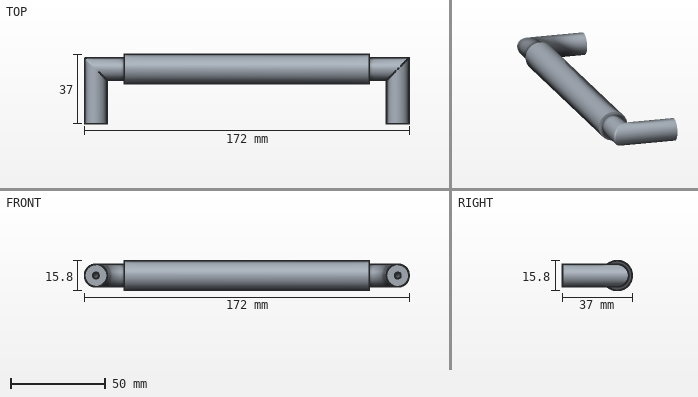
import cadquery as cq
import math

HOLE_SPACING = 160.0
ROD_DIAMETER = 12.0
OVERALL_DEPTH = 37.0
SLEEVE_DIAMETER = 15.8
SLEEVE_LENGTH = 130.0
MITRE_FILLET_RADIUS = 1.0
SCREW_HOLE_DIAMETER = 3.3
SCREW_HOLE_DEPTH = 15.0
DRILL_POINT_ANGLE = 118.0

rod_radius = ROD_DIAMETER / 2
leg_offset = HOLE_SPACING / 2
bar_axis_y = OVERALL_DEPTH - SLEEVE_DIAMETER / 2
outer_x = leg_offset + rod_radius
outer_y = bar_axis_y + rod_radius
inner_x = leg_offset - rod_radius
inner_y = bar_axis_y - rod_radius


def cylinder_along_x(diameter, length):
    """Cylinder on the bar axis, centred on X = 0."""
    return (
        cq.Workplane("YZ", origin=(-length / 2, bar_axis_y, 0))
        .circle(diameter / 2)
        .extrude(length)
    )


def cylinder_from_foot(side, diameter, length):
    """Cylinder on a leg axis, running from the foot face towards +Y."""
    return (
        cq.Workplane("XZ", origin=(side * leg_offset, 0, 0))
        .circle(diameter / 2)
        .extrude(-length)
    )


def prism(points):
    """Outline in the XY plane, extruded past both sides of the rods."""
    return cq.Workplane("XY").polyline(points).close().extrude(ROD_DIAMETER, both=True)


def make_bar():
    """Cross bar with both ends cut at 45 degrees."""
    envelope = prism([
        (-outer_x, outer_y),
        (outer_x, outer_y),
        (inner_x, inner_y),
        (-inner_x, inner_y),
    ])
    return cylinder_along_x(ROD_DIAMETER, 2 * outer_x).intersect(envelope)


def make_leg(side):
    """Leg with a square foot and its upper end cut at 45 degrees."""
    envelope = prism([
        (side * outer_x, 0),
        (side * outer_x, outer_y),
        (side * inner_x, inner_y),
        (side * inner_x, 0),
    ])
    return cylinder_from_foot(side, ROD_DIAMETER, outer_y).intersect(envelope)


def make_mitre_fillet():
    """Wedge of the right-hand elbow holding the fillet, and its filleted replacement.

    A ball rolling inside both cylinders has its centre on the mitre ellipse of two
    thinner cylinders. It touches each rod along a flat curve, so the fillet lies
    between two planes through the elbow centre. It fades out at the top and bottom
    of the rods. Everything is built with the elbow centre at the origin.
    """
    ball_path_radius = rod_radius - MITRE_FILLET_RADIUS
    wedge = prism([
        (0, 0),
        (2 * ball_path_radius, 2 * rod_radius),
        (2 * rod_radius, 2 * ball_path_radius),
    ])

    diagonal = math.sqrt(2)
    mitre_plane = cq.Plane(origin=(0, 0, 0), xDir=(1, 1, 0), normal=(-1, 1, 0))
    core_semi_axis = (rod_radius + ball_path_radius) / diagonal
    core = (
        cq.Workplane(mitre_plane)
        .ellipse(core_semi_axis, rod_radius)
        .extrude(ROD_DIAMETER, both=True)
        .intersect(wedge)
    )

    path_half_angle = 120
    ball_path = cq.Workplane(mitre_plane).ellipseArc(
        ball_path_radius * diagonal,
        ball_path_radius,
        -path_half_angle,
        path_half_angle,
        startAtCurrent=False,
    )
    path_edge = ball_path.val()
    start_plane = cq.Plane(
        origin=path_edge.startPoint().toTuple(),
        xDir=(-1, 1, 0),
        normal=path_edge.tangentAt(0).toTuple(),
    )
    tube = cq.Workplane(start_plane).circle(MITRE_FILLET_RADIUS).sweep(ball_path)
    return wedge, core.union(tube.intersect(wedge))


def place_at_elbow(shape, side):
    """Move a right-hand elbow shape to the elbow on the given side."""
    if side < 0:
        shape = shape.mirror("YZ")
    return shape.translate((side * leg_offset, bar_axis_y, 0))


def make_screw_hole(side):
    """Blind drilled hole in a foot, ending in a conical drill point."""
    hole_radius = SCREW_HOLE_DIAMETER / 2
    point_depth = hole_radius / math.tan(math.radians(DRILL_POINT_ANGLE / 2))
    drill_point = cq.Solid.makeCone(
        hole_radius,
        0,
        point_depth,
        pnt=cq.Vector(side * leg_offset, SCREW_HOLE_DEPTH, 0),
        dir=cq.Vector(0, 1, 0),
    )
    return cylinder_from_foot(side, SCREW_HOLE_DIAMETER, SCREW_HOLE_DEPTH).union(
        cq.Workplane(obj=drill_point)
    )


def make_handle():
    """Mitred rod frame with rounded elbows, screw holes and a grip sleeve."""
    sides = (-1, 1)
    handle = make_bar()
    for side in sides:
        handle = handle.union(make_leg(side))

    wedge, filleted_wedge = make_mitre_fillet()
    for side in sides:
        handle = handle.cut(place_at_elbow(wedge, side))
        handle = handle.union(place_at_elbow(filleted_wedge, side))
        handle = handle.cut(make_screw_hole(side))
    return handle.union(cylinder_along_x(SLEEVE_DIAMETER, SLEEVE_LENGTH))


result = cq.Workplane(obj=make_handle().solids().val())